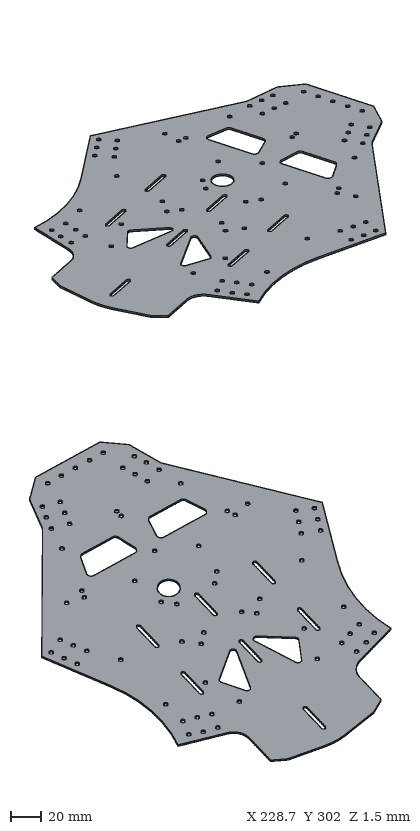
import cadquery as cq

length = 302.0
width = 228.7
thickness = 1.5

half_length = length / 2
half_width = width / 2
front_edge_half_width = 26.3
shoulder = (40.5, 138.0)
neck = (48.3, 112.7)
wing_tip = (half_width, 22.5)
waist_start = (92.5, -25.0)
waist_middle = (83.0, -66.5)
rear_corner = (86.7, -93.0)
tail_half_width = 45.0
tail_root_y = -106.3
tail_side_end_y = -139.5
tail_chamfer_end = (35.0, -145.3)
tail_tip_start = (7.5, -150.5)
tail_root_radius = 13.0

tail_tip_depth = half_length + tail_tip_start[1]
tail_tip_radius = (tail_tip_start[0] ** 2 + tail_tip_depth ** 2) / (2 * tail_tip_depth)

screw_diameter = 3.0
paired_holes = [
    (11.5, 142.3), (22.7, 142.3),
    (37.5, 127.8), (40.8, 118.7), (43.8, 108.7), (25.5, 124.0), (28.7, 114.8), (31.7, 105.0), (48.3, 90.5),
    (59.2, 53.2), (61.3, 47.5), (73.7, 50.5), (26.0, 39.5),
    (96.0, 27.0), (107.2, 21.5), (91.8, 17.8), (103.3, 12.5), (87.3, 8.8), (99.0, 3.3),
    (22.7, 14.5), (15.5, 7.0), (73.7, -10.5), (31.7, -21.5), (15.5, -23.5), (22.7, -30.5),
    (40.2, -59.5), (72.5, -59.5), (72.0, -78.0), (62.2, -81.0), (53.0, -84.3),
    (75.5, -89.7), (66.5, -93.3), (56.5, -96.0), (31.7, -86.0),
]
center_holes = [(0, 142.3), (0, 95.7), (0, 90.5), (0, 53.2)]

large_hole_diameter = 15.0
large_hole_center = (-11.5, 21.5)

slot_width = 3.0
slot_length = 23.5
slot_side_x = 47.5
front_slot_y = -4.5
middle_slot_y = -54.7
tail_slot_y = -126.5
slot_columns = (-slot_side_x, 0, slot_side_x)
slot_centers = [(x, y) for x in slot_columns for y in (front_slot_y, middle_slot_y)]
slot_centers.append((0, tail_slot_y))

window_corners = [(13.0, 79.0), (42.0, 79.0), (49.5, 59.2), (8.0, 59.2)]
window_radius = 3.0
triangle_corners = [(4.5, -41.5), (32.5, -63.7), (20.2, -85.2)]
triangle_radius = 2.5


def mirrored(points):
    return [(-x, y) for x, y in points]


def make_plate():
    right_half = (
        cq.Workplane("XY")
        .moveTo(0, half_length)
        .lineTo(front_edge_half_width, half_length)
        .lineTo(*shoulder)
        .lineTo(*neck)
        .lineTo(*wing_tip)
        .lineTo(*waist_start)
        .threePointArc(waist_middle, rear_corner)
        .lineTo(tail_half_width, tail_root_y)
        .lineTo(tail_half_width, tail_side_end_y)
        .lineTo(*tail_chamfer_end)
        .lineTo(*tail_tip_start)
        .radiusArc((0, -half_length), tail_tip_radius)
        .close()
        .extrude(thickness)
    )
    tail_root = cq.selectors.NearestToPointSelector((tail_half_width, tail_root_y, thickness / 2))
    right_half = right_half.edges("|Z").edges(tail_root).fillet(tail_root_radius)
    return right_half.union(right_half.mirror("YZ")).clean()


def rounded_opening(corners, radius):
    opening = cq.Workplane("XY").polyline(corners).close().extrude(thickness)
    return opening.edges("|Z").fillet(radius)


def round_holes(centers, diameter):
    return cq.Workplane("XY").pushPoints(centers).circle(diameter / 2).extrude(thickness)


def slots():
    return cq.Workplane("XY").pushPoints(slot_centers).slot2D(slot_length, slot_width, 90).extrude(thickness)


plate = make_plate()
for corners, radius in [(window_corners, window_radius), (triangle_corners, triangle_radius)]:
    plate = plate.cut(rounded_opening(corners, radius))
    plate = plate.cut(rounded_opening(mirrored(corners), radius))
plate = plate.cut(slots())
plate = plate.cut(round_holes(paired_holes + mirrored(paired_holes) + center_holes, screw_diameter))
plate = plate.cut(round_holes([large_hole_center], large_hole_diameter))

result = plate